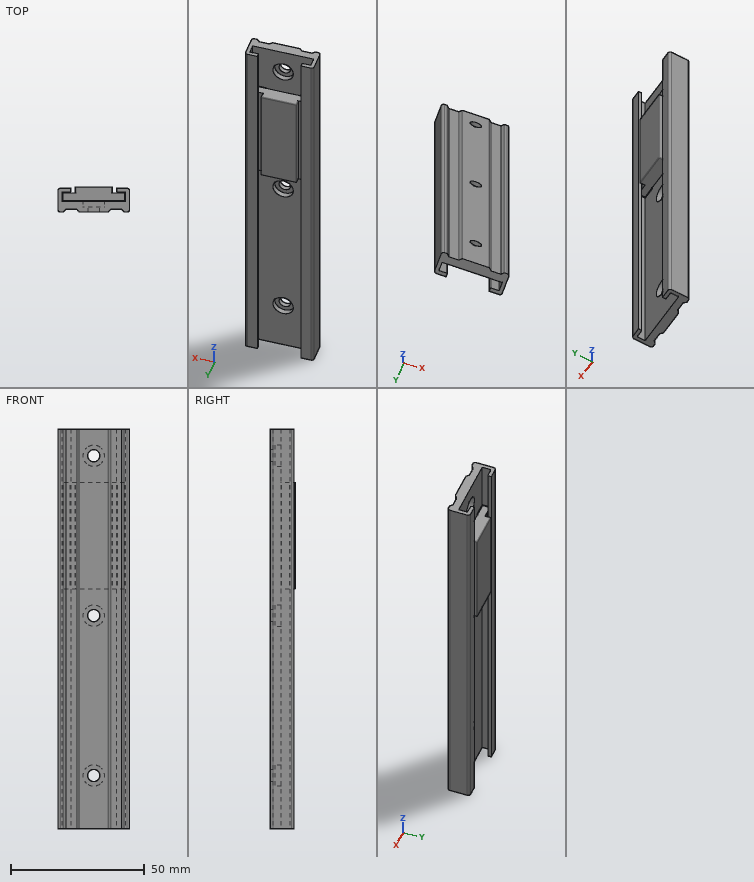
import cadquery as cq

rail_length = 150.0
rail_half_width = 13.5
rail_height = 9.0
channel_half_width = 12.0
channel_floor = 4.0
channel_roof = 7.5
lip_half_gap = 8.6
lip_corner_radius = 0.3
channel_corner_radius = 0.3
outer_corner_radius = 1.0

groove_depth = 1.0
center_land_half_width = 5.4
foot_inner_edge = 11.4
groove_corner_radius = 0.3

hole_radius = 2.25
counterbore_radius = 4.0
counterbore_seat = 1.9
hole_pitch = 60.0
first_hole_height = 20.0
hole_count = 3

carriage_length = 40.0
carriage_middle = 110.0
carriage_bottom = carriage_middle - carriage_length / 2
side_clearance = 0.4
vertical_clearance = 0.3
flange_half_width = channel_half_width - side_clearance
flange_bottom = channel_floor + vertical_clearance
flange_top = channel_roof - vertical_clearance
pad_half_width = 7.0
pad_top = 9.5
pad_edge_radius = 0.25

liner_floor_inner_edge = 6.8

EDGE_PICK_SIZE = 0.05


def round_long_edges(body, corners, radius):
    """Round the lengthwise edges at the given (x, y) corners and at their mirror images."""
    for x, y in corners:
        for side in (-1, 1):
            low = (side * x - EDGE_PICK_SIZE, y - EDGE_PICK_SIZE, -EDGE_PICK_SIZE)
            high = (side * x + EDGE_PICK_SIZE, y + EDGE_PICK_SIZE, rail_length + EDGE_PICK_SIZE)
            body = body.edges(cq.selectors.BoxSelector(low, high)).fillet(radius)
    return body


def make_rail():
    right_half = [
        (center_land_half_width, 0),
        (center_land_half_width + groove_depth, groove_depth),
        (foot_inner_edge - groove_depth, groove_depth),
        (foot_inner_edge, 0),
        (rail_half_width, 0),
        (rail_half_width, rail_height),
        (lip_half_gap, rail_height),
        (lip_half_gap, channel_roof),
        (channel_half_width, channel_roof),
        (channel_half_width, channel_floor),
    ]
    left_half = [(-x, y) for x, y in reversed(right_half)]
    rail = cq.Workplane("XY").polyline(right_half + left_half).close().extrude(rail_length)

    outer_corners = [(rail_half_width, 0), (rail_half_width, rail_height)]
    rail = round_long_edges(rail, outer_corners, outer_corner_radius)
    groove_corners = [
        (foot_inner_edge, 0),
        (center_land_half_width + groove_depth, groove_depth),
        (center_land_half_width, 0),
    ]
    rail = round_long_edges(rail, groove_corners, groove_corner_radius)

    rail = round_long_edges(rail, [(lip_half_gap, channel_roof)], lip_corner_radius)
    rail = round_long_edges(rail, [(channel_half_width, channel_roof)], channel_corner_radius)

    for index in range(hole_count):
        height = first_hole_height + index * hole_pitch
        hole = cq.Workplane("XZ", origin=(0, 0, height)).circle(hole_radius).extrude(-channel_floor)
        counterbore = (
            cq.Workplane("XZ", origin=(0, counterbore_seat, height))
            .circle(counterbore_radius)
            .extrude(counterbore_seat - channel_floor)
        )
        rail = rail.cut(hole).cut(counterbore)
    return rail


def carriage_block(half_width, bottom, top):
    """A carriage-length block centred on X between two Y levels."""
    return cq.Workplane("XY").box(2 * half_width, top - bottom, carriage_length).translate(
        (0, (bottom + top) / 2, carriage_middle)
    )


def make_carriage():
    flange = carriage_block(flange_half_width, flange_bottom, flange_top)
    pad = carriage_block(pad_half_width, flange_bottom, pad_top)
    pad = pad.edges("|Y").fillet(pad_edge_radius)
    pad = pad.faces(">Y").edges().fillet(pad_edge_radius)
    return flange.union(pad)


def make_liner(side):
    """A C-shaped strip around one flange edge; side is +1 or -1 along X."""
    lip_edge = lip_half_gap + lip_corner_radius
    outline = [
        (lip_edge, channel_roof),
        (channel_half_width, channel_roof),
        (channel_half_width, channel_floor),
        (liner_floor_inner_edge, channel_floor),
        (liner_floor_inner_edge, flange_bottom),
        (flange_half_width, flange_bottom),
        (flange_half_width, flange_top),
        (lip_edge, flange_top),
    ]
    liner = (
        cq.Workplane("XY", origin=(0, 0, carriage_bottom))
        .polyline([(side * x, y) for x, y in outline])
        .close()
        .extrude(carriage_length)
    )
    outer_edge = cq.selectors.NearestToPointSelector(
        (side * channel_half_width, channel_roof, carriage_middle)
    )
    return liner.edges("|Z").edges(outer_edge).fillet(channel_corner_radius)


rail = make_rail()
carriage = make_carriage()
liners = [make_liner(side) for side in (-1, 1)]

result = cq.Compound.makeCompound([rail.val(), carriage.val(), *[liner.val() for liner in liners]])